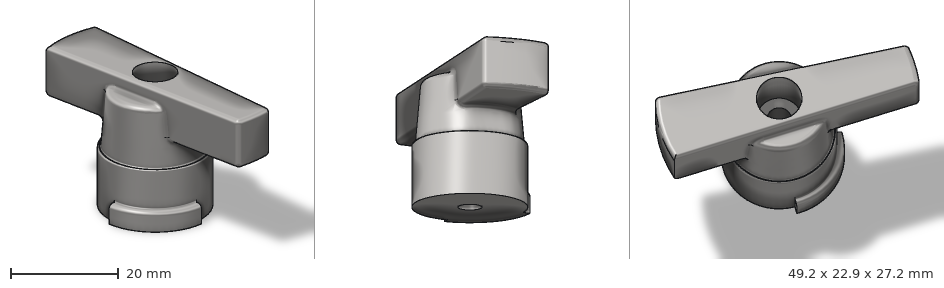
import cadquery as cq
import math


handle_top = 27.15
handle_height = 9.85
handle_underside = handle_top - handle_height
wide_end_reach = 22.95
narrow_end_reach = 26.2
wide_half_width = 6.55
narrow_half_width = 4.2
handle_round = 1.0

collar_radius = 21.5 / 2
collar_top = 12.05
collar_round = 0.45
cone_foot_round = 0.35
cone_base_radius = 10.1
cone_top = 23.95
cone_taper = 5.0
cone_top_round = 1.25
junction_round = 1.0

overall_depth = 22.85
tab_radius = overall_depth - collar_radius
tab_top = 4.05
tab_round = 1.0
tab_root_round = tab_radius - tab_round - collar_radius
tab_sweep = 90

screw_hole_diameter = 4.5
counterbore_diameter = 8.4
counterbore_depth = handle_height

OUTER_ARC_MIDDLE = 45
INNER_ARC_MIDDLE = 225
tolerance = 0.05


def arc_point(center_x, center_z, radius, angle):
    """Point at the given angle on a circle in the radial profile."""
    direction = math.radians(angle)
    return (center_x + radius * math.cos(direction), center_z + radius * math.sin(direction))


def make_stem():
    """Collar and tapered cone, revolved about the knob axis."""
    foot_x = cone_base_radius + cone_foot_round
    foot_z = collar_top + cone_foot_round
    shoulder_x = collar_radius - collar_round
    shoulder_z = collar_top - collar_round
    cone_top_radius = cone_base_radius - (cone_top - foot_z) * math.tan(math.radians(cone_taper))
    shoulder_middle = arc_point(shoulder_x, shoulder_z, collar_round, OUTER_ARC_MIDDLE)
    foot_middle = arc_point(foot_x, foot_z, cone_foot_round, INNER_ARC_MIDDLE)
    stem = (
        cq.Workplane("XZ")
        .lineTo(collar_radius, 0)
        .lineTo(collar_radius, shoulder_z)
        .threePointArc(shoulder_middle, (shoulder_x, collar_top))
        .lineTo(foot_x, collar_top)
        .threePointArc(foot_middle, (cone_base_radius, foot_z))
        .lineTo(cone_top_radius, cone_top)
        .lineTo(0, cone_top)
        .close()
        .revolve(360, (0, 0, 0), (0, 1, 0))
    )
    return stem.faces(">Z").edges().fillet(cone_top_round)


def make_tab():
    """Raised rim at the foot of the collar, covering the +X, -Y quarter."""
    shoulder_x = tab_radius - tab_round
    shoulder_z = tab_top - tab_round
    root_z = tab_top + tab_root_round
    shoulder_middle = arc_point(shoulder_x, shoulder_z, tab_round, OUTER_ARC_MIDDLE)
    root_middle = arc_point(shoulder_x, root_z, tab_root_round, INNER_ARC_MIDDLE)
    return (
        cq.Workplane("XZ")
        .lineTo(tab_radius, 0)
        .lineTo(tab_radius, shoulder_z)
        .threePointArc(shoulder_middle, (shoulder_x, tab_top))
        .threePointArc(root_middle, (collar_radius, root_z))
        .lineTo(0, root_z)
        .close()
        .revolve(tab_sweep, (0, 0, 0), (0, 1, 0))
        .rotate((0, 0, 0), (0, 0, 1), -tab_sweep)
    )


def make_handle_block():
    """Sharp-edged tapered bar whose two ends are arcs about the knob axis."""
    wide_x = -math.sqrt(wide_end_reach**2 - wide_half_width**2)
    narrow_x = math.sqrt(narrow_end_reach**2 - narrow_half_width**2)
    return (
        cq.Workplane("XY", origin=(0, 0, handle_underside))
        .moveTo(wide_x, -wide_half_width)
        .lineTo(narrow_x, -narrow_half_width)
        .threePointArc((narrow_end_reach, 0), (narrow_x, narrow_half_width))
        .lineTo(wide_x, wide_half_width)
        .threePointArc((-wide_end_reach, 0), (wide_x, -wide_half_width))
        .close()
        .extrude(handle_height)
    )


def is_wide_front_corner(edge):
    """True for the vertical edge at the -X, -Y corner of the handle block."""
    center = edge.Center()
    return center.x < 0 and center.y < -narrow_half_width


def is_front_underside(edge):
    """True for the long lower edge on the -Y side of the handle block."""
    center = edge.Center()
    return center.y < -narrow_half_width and center.z < handle_underside + tolerance


def make_handle():
    """Rounded bar; on its wide half the -Y corner and -Y lower edge stay sharp."""
    rounded_edges = make_handle_block().edges().filter(lambda edge: not is_wide_front_corner(edge))
    upper_and_back_edges = rounded_edges.filter(lambda edge: not is_front_underside(edge))
    narrow_version = rounded_edges.fillet(handle_round)
    wide_version = upper_and_back_edges.fillet(handle_round)

    span = 2 * narrow_end_reach
    narrow_side = cq.Workplane("XY").box(span, span, span).translate((span / 2, 0, handle_top))
    return narrow_version.intersect(narrow_side).union(wide_version.cut(narrow_side))


def is_junction(edge):
    """True for the edges where the handle meets the cone."""
    center = edge.Center()
    box = edge.BoundingBox()
    within_cone = math.hypot(center.x, center.y) < cone_base_radius
    within_height = box.zmin > handle_underside - tolerance and box.zmax < cone_top + tolerance
    on_cone_rim = edge.geomType() == "CIRCLE" and box.zmin > handle_underside + handle_round
    return within_cone and within_height and not on_cone_rim


def make_screw_hole():
    """Through hole on the knob axis, counterbored from the top of the handle."""
    hole = cq.Workplane("XY").circle(screw_hole_diameter / 2).extrude(handle_top)
    counterbore = (
        cq.Workplane("XY", origin=(0, 0, handle_top - counterbore_depth))
        .circle(counterbore_diameter / 2)
        .extrude(counterbore_depth)
    )
    return hole.union(counterbore)


knob = make_stem().union(make_handle())
knob = knob.edges().filter(is_junction).fillet(junction_round)
result = knob.union(make_tab()).cut(make_screw_hole())